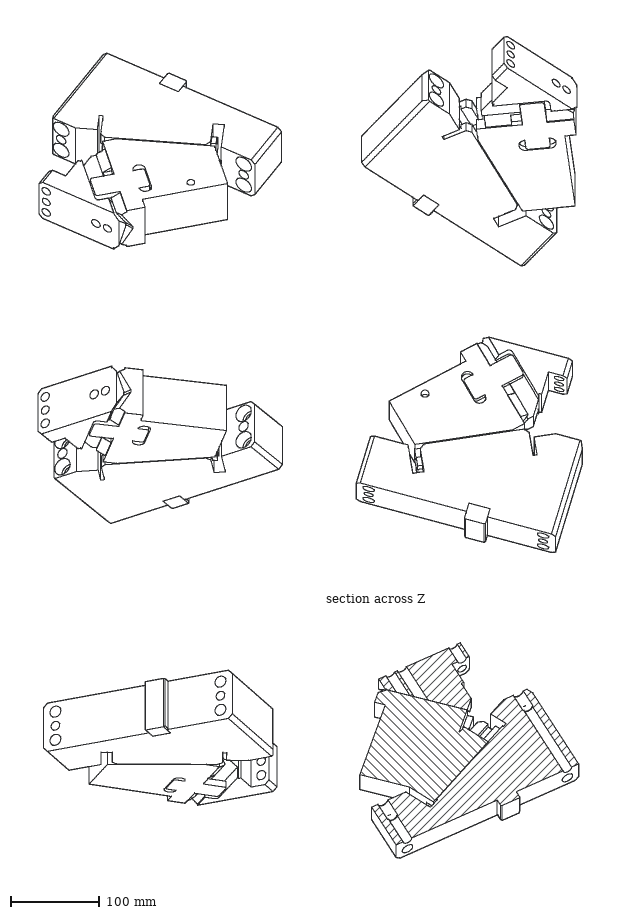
import cadquery as cq
import math

half_height = 29.8
edge_chamfer = 5.0
slide_angle = 25.0
guide_angle = -45.0
bolt_spacing = 17.5
overshoot = 2.4

driver_length = 235.0
driver_back = 209.9
driver_left_front = 91.6
driver_right_front = 150.6
driver_corner_rise = 7.5
slide_corner = (69.3, 96.0)
slide_face_length = 115.2
slide_left = -edge_chamfer
slide_right = slide_face_length + edge_chamfer
slot_depth = 33.0
left_slot_width = 4.5
right_slot_width = 13.0
shoulder_offset = 11.0
end_hole_inset = 14.8
bolt_diameter = 13.5
bolt_head_diameter = 20.5
bolt_head_depth = 15.0
driver_dowel_diameter = 10.5
driver_dowel_mouth_diameter = 12.5
dowel_mouth_depth = 23.5

key_left = 80.1
key_width = 25.0
key_front = 199.5
key_back = 219.0
key_half_height = 29.96
key_chamfer = 1.5

rail_gap = 1.2
rail_start = 22.0
rail_end = 125.7
neck_top = 11.3
neck_half = 14.8
flange_top = 21.6
flange_half = 20.7
cap_top = 31.5
cap_half = 9.5

slider_corner = (70.7, 89.5)
slider_length = 98.5
slider_depth = 121.0
slider_left_depth = 17.6
tab_length = 111.2
tab_depth = 21.5
oil_hole_place = (86.5, 81.0)
oil_hole_diameter = 8.7
oil_hole_depth = 14.0
notch_length = 7.3
notch_half = 10.8
notch_round = 1.9

vee_slope = math.tan(math.radians(30.0))
vee_apex = 1.5
vee_flat = 0.5
vee_root = 28.5
lead_in_length = 8.5
lead_in_depth = 6.5
ridge_start = 10.3
ridge_root = 28.0
ridge_round = 2.0

tongue_left = 52.5
tongue_width = 28.0
tongue_right = tongue_left + tongue_width
tongue_front = -28.5
tongue_back = 35.2
tongue_floor = 22.3
tongue_round = 3.0
tongue_gap = 1.2
recess_left = 40.2
relief_radius = 7.0

guide_reach = 235.0
base_left = 40.0
base_right = 145.2
foot_depth = 22.0
step_left = 62.0
step_depth = 50.0
nose_left = 65.0
nose_half = 16.7
nose_start = 7.3
seat_wall = -30.0
seat_right = 87.0
seat_round = 4.7
screw_place = 49.5
screw_diameter = 11.0
locating_diameter = 10.3
nose_holes = ((115.2, 11.3), (130.2, 10.8))


def along(origin, angle, u, v):
    """XY point that lies u along and v to the left of a direction from origin."""
    a = math.radians(angle)
    return (
        origin[0] + u * math.cos(a) - v * math.sin(a),
        origin[1] + u * math.sin(a) + v * math.cos(a),
    )


def slide_point(u, v):
    return along(slide_corner, slide_angle, u, v)


def guide_point(s, d):
    return along(slider_corner, guide_angle, s, d)


def prism(points, bottom, top):
    return cq.Workplane("XY").workplane(offset=bottom).polyline(points).close().extrude(top - bottom)


def slide_box(u0, u1, v0, v1, half):
    corners = [(u0, v0), (u1, v0), (u1, v1), (u0, v1)]
    return prism([slide_point(*c) for c in corners], -half, half)


def guide_box(s0, s1, d0, d1, bottom, top):
    corners = [(s0, d0), (s1, d0), (s1, d1), (s0, d1)]
    return prism([guide_point(*c) for c in corners], bottom, top)


def guide_section(s):
    """Plane across the guide: local x is the guide depth, local y is Z."""
    a = math.radians(guide_angle)
    normal = (math.cos(a), math.sin(a), 0)
    depth = (-math.sin(a), math.cos(a), 0)
    x, y = guide_point(s, 0)
    return cq.Workplane(cq.Plane(origin=(x, y, 0), xDir=depth, normal=normal))


def y_hole(x, z, diameter, start, end):
    """Cylinder along +Y from start to end."""
    plane = cq.Plane(origin=(x, start, z), xDir=(1, 0, 0), normal=(0, 1, 0))
    return cq.Workplane(plane).circle(diameter / 2).extrude(end - start)


def vee_depth(z):
    return vee_apex - vee_slope * abs(z)


def both_sides(shape):
    """The shape together with its mirror image below Z = 0."""
    return shape.union(shape.mirror("XY"))


def hook_rail(start, end, root):
    """Stepped rail: neck, wide flange and narrow cap."""
    rail = slide_box(start, end, root, neck_top, neck_half)
    rail = rail.union(slide_box(start, end, neck_top, flange_top, flange_half))
    return rail.union(slide_box(start, end, flange_top, cap_top, cap_half))


def driver_outline():
    slot_left = slide_left - left_slot_width
    slot_right = slide_right + right_slot_width
    sine = math.sin(math.radians(slide_angle))
    cosine = math.cos(math.radians(slide_angle))
    right_v = (driver_right_front - slide_corner[1] - slot_right * sine) / cosine
    left_u = (driver_left_front - slide_corner[1] - shoulder_offset * cosine) / sine
    corner_run = driver_corner_rise * math.tan(math.radians(slide_angle))
    return [
        (corner_run, driver_left_front),
        slide_point(left_u, shoulder_offset),
        slide_point(slot_left, shoulder_offset),
        slide_point(slot_left, slot_depth),
        slide_point(slide_left, slot_depth),
        slide_point(slide_left, edge_chamfer),
        slide_point(0, 0),
        slide_point(slide_face_length, 0),
        slide_point(slide_right, edge_chamfer),
        slide_point(slide_right, slot_depth),
        slide_point(slot_right, slot_depth),
        slide_point(slot_right, right_v),
        (driver_length, driver_right_front),
        (driver_length, driver_back),
        (0, driver_back),
        (0, driver_left_front + driver_corner_rise),
    ]


def make_key():
    key = cq.Workplane("XY").box(
        key_width, key_back - key_front, 2 * key_half_height, centered=(True, False, True)
    )
    key = key.edges("|Z and >Y").chamfer(key_chamfer)
    key = key.edges("|Y and <Z").chamfer(key_chamfer)
    return key.translate((key_left + key_width / 2, key_front, 0))


def make_driver():
    driver = prism(driver_outline(), -half_height, half_height)
    for side in ("<X", ">X"):
        driver = driver.faces(side).edges("|Y").chamfer(edge_chamfer)
    channel = hook_rail(slide_left - overshoot, slide_right + overshoot, -overshoot)
    driver = driver.cut(channel)
    left_end = (end_hole_inset, driver_left_front)
    right_end = (driver_length - end_hole_inset, driver_right_front)
    for x, front in (left_end, right_end):
        for z in (-bolt_spacing, bolt_spacing):
            driver = driver.cut(y_hole(x, z, bolt_diameter, front, driver_back))
            driver = driver.cut(y_hole(x, z, bolt_head_diameter, front, front + bolt_head_depth))
        driver = driver.cut(y_hole(x, 0, driver_dowel_diameter, front, driver_back))
        driver = driver.cut(y_hole(x, 0, driver_dowel_mouth_diameter, front, front + dowel_mouth_depth))
    return driver.union(make_key(), clean=False)


def slider_block():
    turn = math.radians(slide_angle - guide_angle)
    slide_run = (slider_depth - slider_left_depth) / math.tan(turn)
    outline = [
        (0, 0),
        (tab_length, 0),
        (tab_length, tab_depth),
        (slider_length, tab_depth),
        (slider_length, slider_depth),
        (slide_run, slider_depth),
        (0, slider_left_depth),
    ]
    return prism([guide_point(*p) for p in outline], -half_height, half_height)


def guide_ridge():
    """Upper ridge beside the V, from the slider front down to its rounded crest."""
    crest_z = (vee_apex + ridge_root / vee_slope) / (1 / vee_slope + vee_slope)
    crest = (vee_depth(crest_z), crest_z)
    inner_z = (vee_apex - vee_flat) / vee_slope
    points = [(vee_flat, ridge_root), (0, ridge_root), crest, (vee_flat, inner_z)]
    ridge = guide_section(ridge_start).polyline(points).close().extrude(tab_length - ridge_start)
    crest_x, crest_y = guide_point((ridge_start + tab_length) / 2, crest[0])
    nearest = cq.selectors.NearestToPointSelector((crest_x, crest_y, crest_z))
    return ridge.edges(nearest).fillet(ridge_round)


def vee_points(shift=0.0):
    """Section of the V with its flattened apex, moved by shift into the slider."""
    flat_z = (vee_apex - vee_flat) / vee_slope
    root = vee_depth(vee_root)
    root_z = vee_root + shift / vee_slope
    apex = vee_flat + shift
    return [(root, root_z), (apex, flat_z), (apex, -flat_z), (root, -root_z)]


def vee_prism(start, end):
    """Solid V that the slider straddles."""
    return guide_section(start).polyline(vee_points()).close().extrude(end - start)


def lead_in():
    """V that deepens steadily up to the tab end."""
    start = guide_section(tab_length - lead_in_length).polyline(vee_points()).close()
    end = guide_section(tab_length).polyline(vee_points(lead_in_depth)).close()
    solid = cq.Solid.makeLoft([start.wires().val(), end.wires().val()], True)
    return cq.Workplane("XY").add(solid)


def cut_notch(slider):
    """Slot through the left end of the slider, with rounded front edges."""
    slider = slider.cut(guide_box(0, notch_length, 0, slider_depth, -notch_half, notch_half))
    x, y = guide_point(notch_length / 2, 0)
    for z in (-notch_half, notch_half):
        front_edge = cq.selectors.NearestToPointSelector((x, y, z))
        slider = slider.edges(front_edge).fillet(notch_round)
    return slider


def tongue_recess():
    """Upper pocket around the tongue plate, with round relief corners."""
    pocket_back = tongue_back + tongue_gap
    relief_depth = pocket_back - relief_radius
    recess = guide_box(recess_left, tongue_right, seat_wall, 0, tongue_floor, half_height)
    recess = recess.union(
        guide_box(tongue_left, tongue_right, 0, pocket_back, tongue_floor, half_height)
    )
    for s in (tongue_left, tongue_right):
        x, y = guide_point(s, relief_depth)
        relief = cq.Workplane("XY").workplane(offset=tongue_floor).center(x, y)
        recess = recess.union(relief.circle(relief_radius).extrude(half_height - tongue_floor))
    return recess


def tongue_plate():
    tongue = guide_box(
        tongue_left, tongue_right, tongue_front, tongue_back, tongue_floor, half_height
    )
    return tongue.edges("|Z").fillet(tongue_round)


def make_slider():
    slider = cut_notch(slider_block())
    slider = slider.union(both_sides(guide_ridge()))
    slider = slider.cut(vee_prism(notch_length, tab_length)).cut(lead_in())
    slider = slider.cut(both_sides(tongue_recess()))
    slider = slider.union(both_sides(tongue_plate()))
    clearance = slide_box(-overshoot, rail_end + overshoot, -rail_gap, overshoot, half_height)
    slider = slider.cut(clearance)
    slider = slider.union(hook_rail(rail_start, rail_end, -overshoot))
    x, y = guide_point(*oil_hole_place)
    hole = cq.Workplane("XY").workplane(offset=half_height - oil_hole_depth).center(x, y)
    return slider.cut(hole.circle(oil_hole_diameter / 2).extrude(oil_hole_depth))


def base_block():
    foot = prism(
        [
            (base_left, 0),
            (base_right, 0),
            (base_right, step_depth),
            (step_left, step_depth),
            (step_left, foot_depth),
            (base_left, foot_depth),
        ],
        -half_height,
        half_height,
    )
    foot = foot.faces("<X").edges("|Y").chamfer(edge_chamfer)
    nose = cq.Workplane("XY").box(
        base_right - nose_left, slider_corner[1], 2 * half_height, centered=(False, False, True)
    )
    return foot.union(nose.translate((nose_left, 0, 0)))


def guide_limit():
    """Everything the base may fill: the V and all that lies in front of it."""
    root = vee_depth(vee_root)
    front = guide_box(
        -guide_reach, guide_reach, -guide_reach, seat_wall, -half_height, half_height
    )
    shoulder = guide_box(nose_start, guide_reach, seat_wall, root, -half_height, half_height)
    return front.union(shoulder).union(vee_prism(nose_start, guide_reach))


def seat():
    """Upper clearance over the nose for the ridge and the tongue plate."""
    box = guide_box(-guide_reach, seat_right, seat_wall, slider_depth, nose_half, half_height)
    x, y = guide_point(seat_right, seat_wall)
    corner = cq.selectors.NearestToPointSelector((x, y, (nose_half + half_height) / 2))
    return box.edges(corner).fillet(seat_round)


def make_base():
    base = base_block().intersect(guide_limit())
    base = base.cut(both_sides(seat()))
    for z in (-bolt_spacing, bolt_spacing):
        base = base.cut(y_hole(screw_place, z, screw_diameter, 0, foot_depth))
    base = base.cut(y_hole(screw_place, 0, locating_diameter, 0, foot_depth))
    for x, diameter in nose_holes:
        base = base.cut(y_hole(x, 0, diameter, 0, slider_corner[1]))
    return base


driver = make_driver()
slider = make_slider()
base = make_base()
result = cq.Compound.makeCompound([body.solids().val() for body in (driver, slider, base)])